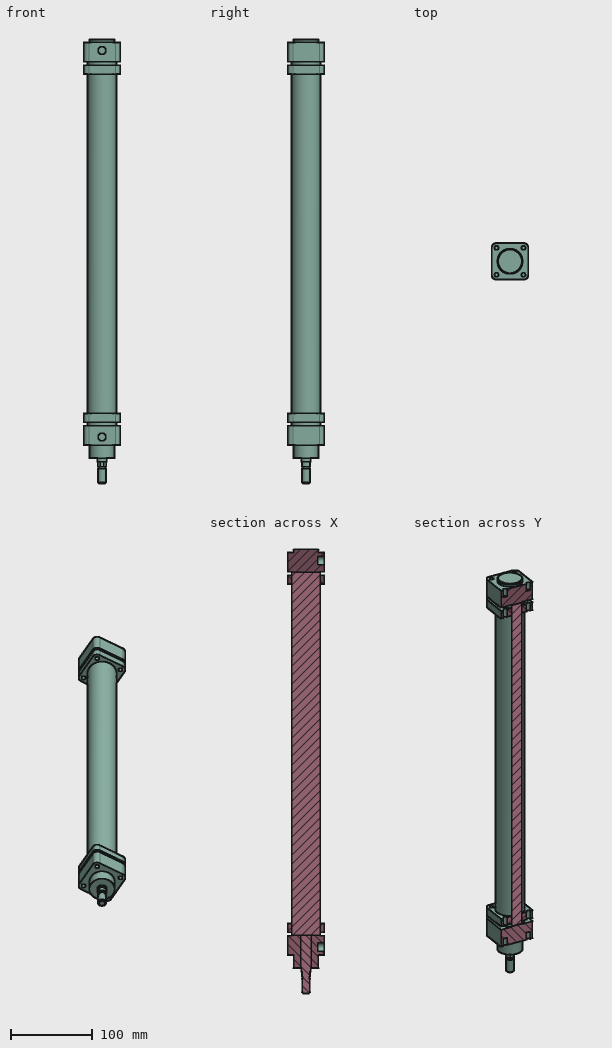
import cadquery as cq

total_length = 544.0
width = 45.0
corner_radius = 6.0
head_height = 24.0
flange_height = 11.0
gap = 4.0
nose_bottom = 31.0
nose_height = 16.0
rear_boss_height = 4.0

barrel_diameter = 36.0
nose_diameter = 31.0
rear_boss_chamfer = 1.0

hole_spacing = 33.0
hole_diameter = 5.0
hole_depth = 10.0
port_diameter = 9.5
port_depth = 8.0
port_offset = 10.0

rod_diameter = 12.0
thread_diameter = 10.0
thread_length = 18.0
thread_chamfer = 1.5
relief_diameter = 8.5
relief_length = 2.5
collar_diameter = 11.0
collar_length = 6.5
flats_across = 10.0

front_head_bottom = nose_bottom + nose_height
front_head_top = front_head_bottom + head_height
front_flange_bottom = front_head_top + gap
rear_head_top = total_length - rear_boss_height
rear_head_bottom = rear_head_top - head_height
rear_flange_bottom = rear_head_bottom - gap - flange_height
collar_bottom = thread_length + relief_length
shank_bottom = collar_bottom + collar_length


def cylinder(diameter, bottom, height):
    """Round solid on the Z axis."""
    return cq.Workplane("XY").workplane(offset=bottom).circle(diameter / 2).extrude(height)


def square_block(bottom, height):
    """Square block with rounded corners."""
    block = cq.Workplane("XY").workplane(offset=bottom).rect(width, width).extrude(height)
    return block.edges("|Z").fillet(corner_radius)


def screw_holes(bottom, depth):
    """Cutter for the four screw holes, one near each corner of a square block."""
    centers = cq.Workplane("XY").workplane(offset=bottom).rect(
        hole_spacing, hole_spacing, forConstruction=True
    )
    return centers.vertices().circle(hole_diameter / 2).extrude(depth)


def port(level):
    """Cutter for a blind air port in the -Y face of a head."""
    face = cq.Workplane("XZ", origin=(0, -width / 2, level))
    return face.circle(port_diameter / 2).extrude(-port_depth)


def make_flange(bottom):
    """Square flange bored to slide over the barrel, with through screw holes."""
    barrel_bore = cylinder(barrel_diameter, bottom, flange_height)
    holes = screw_holes(bottom, flange_height)
    return square_block(bottom, flange_height).cut(barrel_bore).cut(holes)


def make_front_head():
    """Head with a round nose, bored for the rod, with blind screw holes in its lower face."""
    nose = cylinder(nose_diameter, nose_bottom, nose_height)
    head = square_block(front_head_bottom, head_height).union(nose)
    rod_bore = cylinder(rod_diameter, nose_bottom, nose_height + head_height)
    holes = screw_holes(front_head_bottom, hole_depth)
    return head.cut(rod_bore).cut(holes).cut(port(front_head_bottom + port_offset))


def make_rear_head():
    """Closed head with a low chamfered round boss and blind screw holes in its upper face."""
    boss = cylinder(nose_diameter, rear_head_top, rear_boss_height)
    boss = boss.faces(">Z").chamfer(rear_boss_chamfer)
    head = square_block(rear_head_bottom, head_height).union(boss)
    holes = screw_holes(rear_head_top - hole_depth, hole_depth)
    return head.cut(holes).cut(port(rear_head_top - port_offset))


def make_rod():
    """Stepped rod: threaded tip, relief, collar with flats facing -Y and +Y, and plain shank."""
    thread = cylinder(thread_diameter, 0, thread_length).faces("<Z").chamfer(thread_chamfer)
    relief = cylinder(relief_diameter, thread_length, relief_length)
    flats = (
        cq.Workplane("XY")
        .workplane(offset=collar_bottom)
        .rect(collar_diameter, flats_across)
        .extrude(collar_length)
    )
    collar = cylinder(collar_diameter, collar_bottom, collar_length).intersect(flats)
    shank = cylinder(rod_diameter, shank_bottom, front_head_top - shank_bottom)
    return thread.union(relief).union(collar).union(shank)


barrel = cylinder(barrel_diameter, front_head_top, rear_head_bottom - front_head_top)
flanges = [make_flange(bottom).val() for bottom in (front_flange_bottom, rear_flange_bottom)]
front_head = make_front_head()
rear_head = make_rear_head()
rod = make_rod()

result = cq.Compound.makeCompound(
    [barrel.val(), front_head.val(), rear_head.val(), rod.val(), *flanges]
)